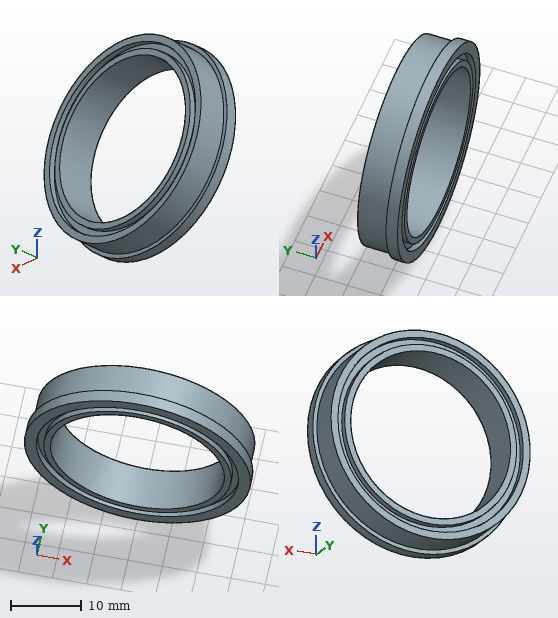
import cadquery as cq

flange_diameter = 32.95
body_diameter = 31.67
bore_diameter = 25.38
width = 6.35
flange_thickness = 1.75

recess_outer_diameter = 29.45
recess_inner_diameter = 27.32
recess_depth = 1.0


def cylinder(diameter, start_y, length):
    """Solid cylinder on the Y axis, from start_y toward +Y."""
    return cq.Workplane("XZ", origin=(0, start_y, 0)).circle(diameter / 2).extrude(-length)


def shield_recess(start_y):
    """Annular cutter whose lower Y face is at start_y."""
    outer = cylinder(recess_outer_diameter, start_y, recess_depth)
    return outer.cut(cylinder(recess_inner_diameter, start_y, recess_depth))


front_y = -width / 2
back_y = width / 2

body = cylinder(body_diameter, front_y, width)
flange = cylinder(flange_diameter, front_y, flange_thickness)
ring = body.union(flange).cut(cylinder(bore_diameter, front_y, width))

for recess_start in (front_y, back_y - recess_depth):
    ring = ring.cut(shield_recess(recess_start))

result = ring